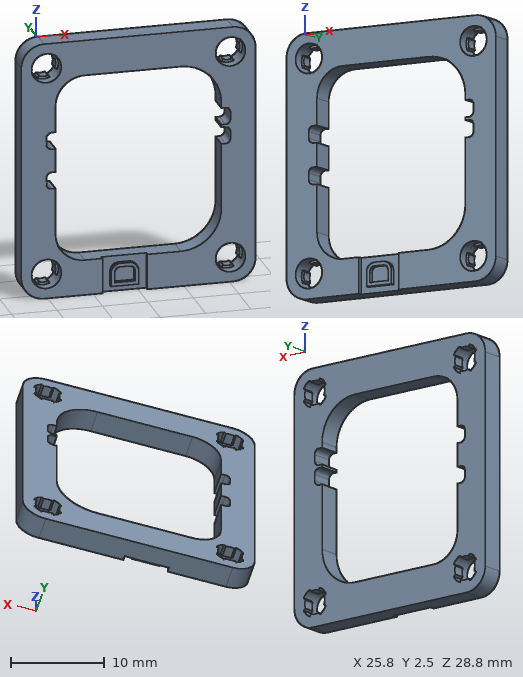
import cadquery as cq

WIDTH = 25.8
HEIGHT = 28.8
THICKNESS = 2.5
CORNER_RADIUS = 2.5
FRONT_Y = -THICKNESS / 2

OPENING_WIDTH = 18.25
OPENING_HEIGHT = 20.88
OPENING_LEFT_RADIUS = 3.2
OPENING_RIGHT_RADIUS = 4.5

NOTCH_DEPTH = 1.0
NOTCH_HEIGHT = 1.87
NOTCH_RADIUS = 0.58
LEFT_NOTCH_HEIGHTS = (3.37, -1.12)
RIGHT_NOTCH_HEIGHTS = (4.4, 2.22)

HOLE_DIAMETER = 3.25
HOLE_SPACING_X = 20.28
HOLE_SPACING_Z = 23.27
TAB_SETBACK = THICKNESS / 2
TAB_BORE_DIAMETER = 2.68
TAB_SLOT_WIDTH = 1.1

RECESS_WIDTH = 4.92
RECESS_DEPTH = 0.5
RECESS_X = -1.5
RIM_WIDTH = 3.05
RIM_HEIGHT = 2.53
RIM_WALL = 0.4
RIM_RADIUS = 1.0
RIM_BOTTOM_GAP = 0.7


def block(width, height, depth, x=0.0, z=0.0, front=FRONT_Y):
    """Box centred on (x, z) that runs back from the given front plane."""
    return cq.Workplane("XY").box(width, depth, height).translate((x, front + depth / 2, z))


def opening_cutter():
    cutter = block(OPENING_WIDTH, OPENING_HEIGHT, THICKNESS)
    cutter = cutter.edges("|Y and <X").fillet(OPENING_LEFT_RADIUS)
    return cutter.edges("|Y and >X").fillet(OPENING_RIGHT_RADIUS)


def notch_cutter(side, z):
    """Notch on the left (side = -1) or right (side = 1), rounded at its outer corners."""
    cutter = block(2 * NOTCH_DEPTH, NOTCH_HEIGHT, THICKNESS, side * OPENING_WIDTH / 2, z)
    outer_edges = "|Y and >X" if side > 0 else "|Y and <X"
    return cutter.edges(outer_edges).fillet(NOTCH_RADIUS)


def hole_cutter():
    """Stepped hole along Y on the origin: full width in front, slotted narrow bore behind."""
    wide_bore = cq.Workplane("XZ", origin=(0, FRONT_Y, 0)).circle(HOLE_DIAMETER / 2).extrude(-THICKNESS)
    tab_ring = wide_bore.cut(
        cq.Workplane("XZ", origin=(0, FRONT_Y, 0)).circle(TAB_BORE_DIAMETER / 2).extrude(-THICKNESS)
    )
    tab_ring = tab_ring.cut(block(HOLE_DIAMETER, HOLE_DIAMETER, TAB_SETBACK))
    slot = block(HOLE_DIAMETER, TAB_SLOT_WIDTH, THICKNESS)
    for angle in (45, 135):
        tab_ring = tab_ring.cut(slot.rotate((0, 0, 0), (0, 1, 0), angle))
    return wide_bore.cut(tab_ring)


def d_block(inset):
    """D-shaped block, shrunk by the inset on every side, as deep as the recess."""
    center_z = -HEIGHT / 2 + RIM_BOTTOM_GAP + RIM_HEIGHT / 2
    shape = block(RIM_WIDTH - 2 * inset, RIM_HEIGHT - 2 * inset, RECESS_DEPTH, RECESS_X, center_z)
    return shape.edges("|Y and >Z").fillet(RIM_RADIUS - inset)


def recess_cutter():
    """Recess from the opening to the bottom edge, less the rim left standing in it."""
    bar_height = (HEIGHT - OPENING_HEIGHT) / 2
    bar_z = -(HEIGHT - bar_height) / 2
    rim = d_block(0).cut(d_block(RIM_WALL))
    return block(RECESS_WIDTH, bar_height, RECESS_DEPTH, RECESS_X, bar_z).cut(rim)


plate = block(WIDTH, HEIGHT, THICKNESS).edges("|Y").fillet(CORNER_RADIUS)
plate = plate.cut(opening_cutter())

for side, notch_heights in ((-1, LEFT_NOTCH_HEIGHTS), (1, RIGHT_NOTCH_HEIGHTS)):
    for notch_z in notch_heights:
        plate = plate.cut(notch_cutter(side, notch_z))

hole = hole_cutter()
for x in (-HOLE_SPACING_X / 2, HOLE_SPACING_X / 2):
    for z in (-HOLE_SPACING_Z / 2, HOLE_SPACING_Z / 2):
        plate = plate.cut(hole.translate((x, 0, z)))

result = plate.cut(recess_cutter())